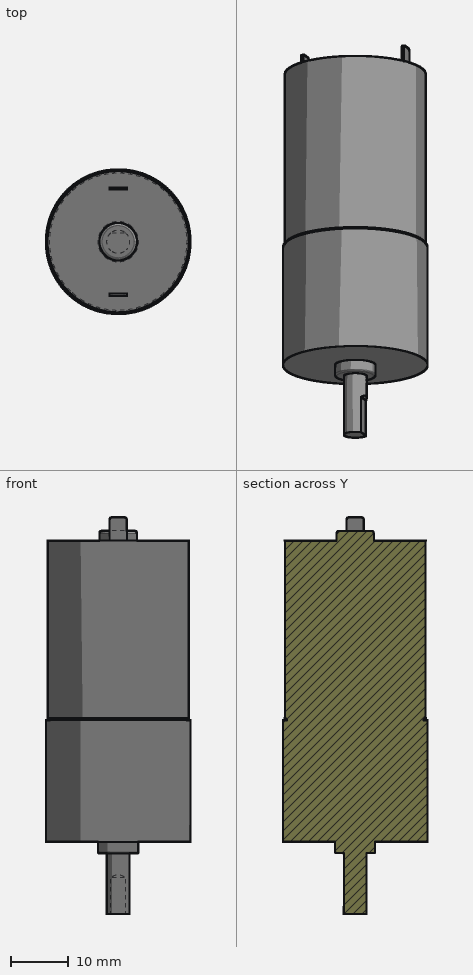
import cadquery as cq

gearbox_diameter = 25.0
gearbox_length = 21.0

can_diameter = 24.4
can_length = 30.95
can_chamfer = 0.35

shaft_diameter = 4.0
shaft_projection = 12.5
collar_diameter = 7.0
collar_length = 2.0
collar_rounding = 0.3
flat_length = 6.3
flat_depth = 0.5

boss_diameter = 6.5
boss_height = 1.7
boss_rounding = 0.5

terminal_width = 3.0
terminal_thickness = 0.4
terminal_spacing = 18.35
terminal_corner = 0.5

overall_length = 68.5
gearbox_base = shaft_projection
can_base = gearbox_base + gearbox_length
can_top = can_base + can_length
terminal_height = overall_length - can_top


def cylinder(diameter, base, height):
    """Upright cylinder on the motor axis."""
    return cq.Workplane("XY").workplane(offset=base).circle(diameter / 2).extrude(height)


def make_shaft():
    """Output shaft with a flat on the +Y side that runs out at 45 degrees."""
    radius = shaft_diameter / 2
    flat_y = radius - flat_depth
    cutter = (
        cq.Workplane("YZ")
        .moveTo(flat_y, 0)
        .lineTo(flat_y, flat_length)
        .lineTo(radius, flat_length + flat_depth)
        .lineTo(radius, 0)
        .close()
        .extrude(radius, both=True)
    )
    return cylinder(shaft_diameter, 0, gearbox_base).cut(cutter)


def make_collar():
    """Collar around the shaft root with a rounded lower rim."""
    collar = cylinder(collar_diameter, gearbox_base - collar_length, collar_length)
    return collar.faces("<Z").edges().fillet(collar_rounding)


def make_can():
    """Motor can with a chamfered lower rim."""
    return cylinder(can_diameter, can_base, can_length).faces("<Z").edges().chamfer(can_chamfer)


def make_boss():
    """Bearing boss with a rounded top rim."""
    return cylinder(boss_diameter, can_top, boss_height).faces(">Z").edges().fillet(boss_rounding)


def make_terminal(y):
    """Upright blade with rounded top corners, centred at the given Y."""
    return (
        cq.Workplane("XY")
        .box(terminal_width, terminal_thickness, terminal_height, centered=(True, True, False))
        .faces(">Z").edges("|Y")
        .fillet(terminal_corner)
        .translate((0, y, can_top))
    )


gearbox = cylinder(gearbox_diameter, gearbox_base, gearbox_length)

result = (
    gearbox
    .union(make_can())
    .union(make_collar())
    .union(make_shaft())
    .union(make_boss())
)
for side in (-1, 1):
    result = result.union(make_terminal(side * terminal_spacing / 2))